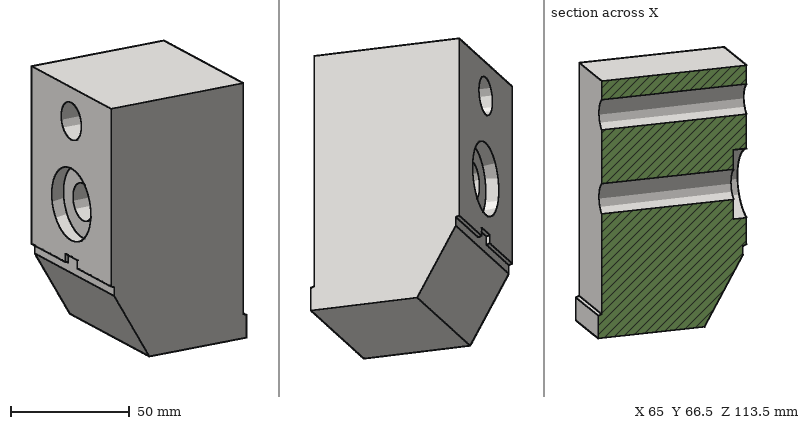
import math

import cadquery as cq

width = 65.02
depth = 65.02
height = 113.49

step = 1.5
step_slope = 20.0
step_drop = step * math.tan(math.radians(step_slope))
tab_width = 10.0
recess_top = 34.4
recess_tab_rise = 3.7
lip_top = 10.7
lip_tab_rise = 3.3

slope_height = 30.0
slope_angle = 60.0
slope_run = slope_height / math.tan(math.radians(slope_angle))

hole_diameter = 16.5
upper_hole_drop = 15.0
lower_hole_drop = 52.0
counterbore_diameter = 32.0
counterbore_depth = 5.8


def extrude_profile(points, length):
    """Extrude a (Y, Z) outline along X, centred on X = 0."""
    return cq.Workplane("YZ").polyline(points).close().extrude(length / 2, both=True)


def step_band(front_y, top, length):
    """Strip one step thick from Z = 0, its top sloping down from front_y toward +Y."""
    back_y = front_y + step
    return extrude_profile(
        [(front_y, 0), (back_y, 0), (back_y, top - step_drop), (front_y, top)],
        length,
    )


def tabbed_band(front_y, top, tab_rise):
    """Full-width strip with a taller tab in the middle."""
    return step_band(front_y, top, width).union(step_band(front_y, top + tab_rise, tab_width))


def front_cylinder(diameter, z, length):
    """Cylinder running from the front face toward +Y."""
    return cq.Workplane("XZ", origin=(0, 0, z)).circle(diameter / 2).extrude(-length)


def main_block():
    return cq.Workplane("XY").box(width, depth, height, centered=(True, False, False))


def lower_slope():
    """Wedge that leaves the recessed front face at slope_height and runs back to the bottom."""
    return extrude_profile(
        [(step, 0), (step + slope_run, 0), (step, slope_height)],
        width,
    )


upper_hole_z = height - upper_hole_drop
lower_hole_z = height - lower_hole_drop

result = (
    main_block()
    .cut(tabbed_band(0, recess_top, recess_tab_rise))
    .cut(lower_slope())
    .union(tabbed_band(depth, lip_top, lip_tab_rise))
    .cut(front_cylinder(hole_diameter, upper_hole_z, depth))
    .cut(front_cylinder(hole_diameter, lower_hole_z, depth))
    .cut(front_cylinder(counterbore_diameter, lower_hole_z, counterbore_depth))
)